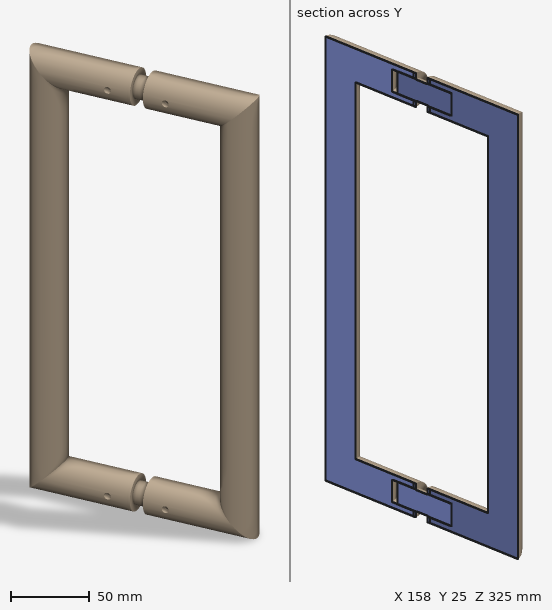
import cadquery as cq

height = 325.0
width = 158.0
bar_diameter = 25.0

gap = 9.0
washer_diameter = bar_diameter
washer_thickness = 2.0
connector_diameter = 16.0

screw_hole_diameter = 5.0
screw_hole_offset = 20.0
socket_clearance = 4.0

bar_radius = bar_diameter / 2
grip_x = width / 2 - bar_radius
arm_z = height / 2 - bar_radius
handle_end_x = gap / 2 + washer_thickness
socket_end_x = screw_hole_offset + socket_clearance
left_stud_end_x = -screw_hole_offset
arm_heights = (-arm_z, arm_z)
sides = (-1, 1)


def rod_along_x(diameter, x_start, x_end, z):
    """Round rod parallel to X at height z."""
    return (
        cq.Workplane("YZ", origin=(x_start, 0, z))
        .circle(diameter / 2)
        .extrude(x_end - x_start)
    )


def make_handle(side):
    """Mitred U-shaped bar with a stud socket and a set-screw hole in each arm."""
    path = (
        cq.Workplane("XZ")
        .moveTo(side * handle_end_x, -arm_z)
        .lineTo(side * grip_x, -arm_z)
        .lineTo(side * grip_x, arm_z)
        .lineTo(side * handle_end_x, arm_z)
    )
    handle = (
        cq.Workplane("YZ", origin=(side * handle_end_x, 0, -arm_z))
        .circle(bar_radius)
        .sweep(path, transition="right")
    )
    for z in arm_heights:
        socket = rod_along_x(connector_diameter, side * handle_end_x, side * socket_end_x, z)
        screw_hole = (
            cq.Workplane("XZ", origin=(side * screw_hole_offset, 0, z))
            .circle(screw_hole_diameter / 2)
            .extrude(bar_radius)
        )
        handle = handle.cut(socket).cut(screw_hole)
    return handle


def make_washer(side, z):
    """Ring between the end of a handle arm and the gap."""
    return (
        cq.Workplane("YZ", origin=(side * gap / 2, 0, z))
        .circle(washer_diameter / 2)
        .circle(connector_diameter / 2)
        .extrude(side * washer_thickness)
    )


def make_connector(z):
    """Stud joining the two handles through both washers."""
    return rod_along_x(connector_diameter, left_stud_end_x, socket_end_x, z)


handles = [make_handle(side) for side in sides]
washers = [make_washer(side, z) for side in sides for z in arm_heights]
connectors = [make_connector(z) for z in arm_heights]

bodies = handles + washers + connectors
result = cq.Compound.makeCompound([body.val() for body in bodies])